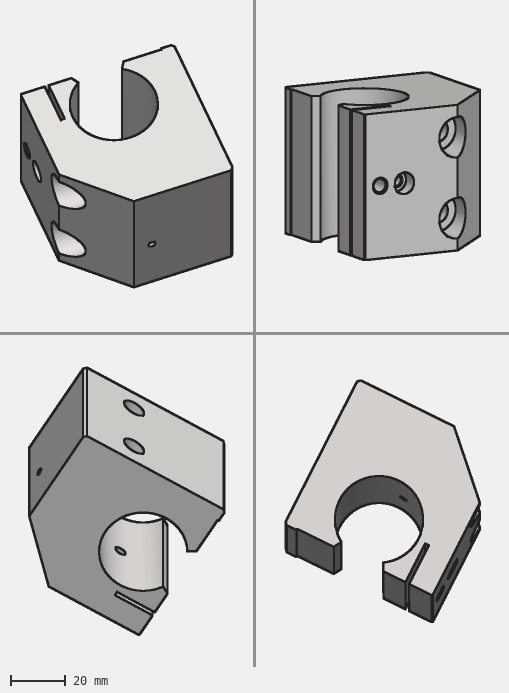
import cadquery as cq
import math

length = 60.0
width = 60.0
height = 54.0
diagonal = 21.0
back_chamfer = 1.0
front_chamfer = 0.3

face_relief = 0.5
pad_width = 5.0

bore_x = 17.0
bore_y = width / 2
bore_radius = 16.0
mouth_half_width = 10.15
mouth_half_angle = 30.0

slot_front = 9.5
slot_width = 1.5
slot_end = 16.5

mount_x = length - diagonal
mount_spacing = 30.0
mount_diameter = 8.5
mount_head_diameter = 15.0
mount_head_depth = 15.0

set_screw_x = 6.95
set_screw_diameter = 5.0
set_screw_mouth = 6.0
clamp_screw_x = bore_x
clamp_screw_diameter = 4.2
clamp_screw_mouth = 5.0
clamp_head_diameter = 8.0
clamp_head_depth = 6.0

cross_hole_diameter = 2.65
cross_hole_y = 28.1
cross_hole_z = 23.4


def cylinder_along_y(x, z, diameter, start, end):
    """Cylinder parallel to Y between two Y positions."""
    return cq.Workplane(
        cq.Solid.makeCylinder(diameter / 2, end - start, cq.Vector(x, start, z), cq.Vector(0, 1, 0))
    )


def chamfered_hole(x, z, diameter, mouth_diameter, start, end):
    """Hole parallel to Y with a 45 degree chamfer at its start."""
    depth = (mouth_diameter - diameter) / 2
    cone = cq.Solid.makeCone(
        mouth_diameter / 2, diameter / 2, depth, cq.Vector(x, start, z), cq.Vector(0, 1, 0)
    )
    return cylinder_along_y(x, z, diameter, start, end).union(cq.Workplane(cone))


body = (
    cq.Workplane("XY")
    .moveTo(face_relief, front_chamfer)
    .lineTo(face_relief + front_chamfer, 0)
    .lineTo(length - diagonal, 0)
    .lineTo(length, diagonal)
    .lineTo(length, width - back_chamfer)
    .lineTo(length - back_chamfer, width)
    .lineTo(back_chamfer, width)
    .lineTo(0, width - back_chamfer)
    .lineTo(0, width - pad_width)
    .lineTo(face_relief, width - pad_width)
    .close()
    .extrude(height)
)

body = body.cut(cq.Workplane("XY").center(bore_x, bore_y).circle(bore_radius).extrude(height))
wedge_tip_x = face_relief + mouth_half_width / math.tan(math.radians(mouth_half_angle))
mouth = (
    cq.Workplane("XY")
    .moveTo(face_relief, bore_y - mouth_half_width)
    .lineTo(wedge_tip_x, bore_y)
    .lineTo(face_relief, bore_y + mouth_half_width)
    .close()
    .extrude(height)
)
body = body.cut(mouth)

body = body.cut(
    cq.Workplane("XY").box(slot_end, slot_width, height, centered=False).translate((0, slot_front, 0))
)

for side in (-1, 1):
    mount_z = height / 2 + side * mount_spacing / 2
    body = body.cut(cylinder_along_y(mount_x, mount_z, mount_diameter, 0, width))
    body = body.cut(cylinder_along_y(mount_x, mount_z, mount_head_diameter, 0, mount_head_depth))

screw_z = height / 2
body = body.cut(
    chamfered_hole(set_screw_x, screw_z, set_screw_diameter, set_screw_mouth, 0, slot_front + slot_width)
)
body = body.cut(cylinder_along_y(clamp_screw_x, screw_z, clamp_head_diameter, 0, clamp_head_depth))
body = body.cut(
    chamfered_hole(
        clamp_screw_x, screw_z, clamp_screw_diameter, clamp_screw_mouth, clamp_head_depth, bore_y
    )
)

cross_hole = cq.Solid.makeCylinder(
    cross_hole_diameter / 2,
    length - bore_x,
    cq.Vector(bore_x, cross_hole_y, cross_hole_z),
    cq.Vector(1, 0, 0),
)
result = body.cut(cq.Workplane(cross_hole))